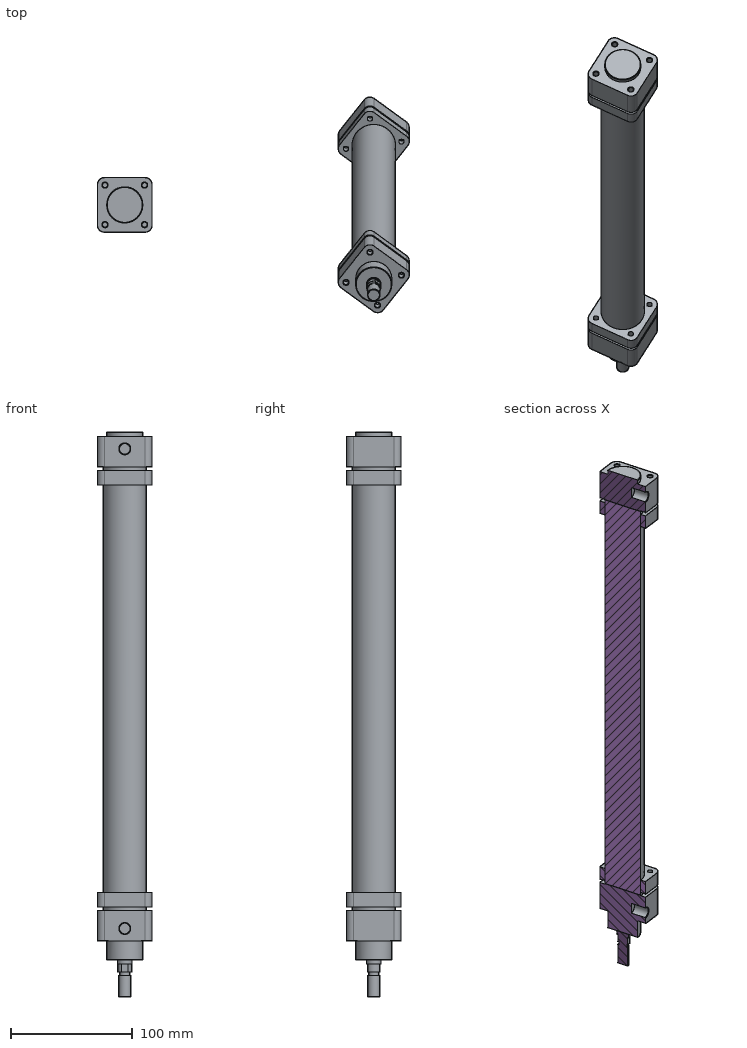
import cadquery as cq

total_length = 464.0
block_side = 45.0
flat_width = 33.5
corner_radius = (block_side - flat_width) / 2
block_height = 25.0
flange_height = 12.0
flange_gap = 3.0

tube_diameter = 35.5

boss_diameter = 29.5
front_boss_height = 16.0
rear_boss_height = 3.5
boss_chamfer = 0.5

rod_diameter = 11.5
rod_flats = 10.0
rod_collar_diameter = 12.0
rod_collar_length = 3.2
flats_length = 6.5
neck_diameter = 8.5
neck_length = 3.0
thread_diameter = 10.0
thread_length = 17.5
thread_chamfer = 0.5

port_diameter = 9.0
port_depth = 14.0
port_chamfer = 0.5
port_inset = 10.0

screw_hole_spacing = 32.5
screw_hole_diameter = 4.0
screw_hole_chamfer = 0.5
chamfer_angle = 45
screw_hole_depth = 9.5

rod_exposed_length = thread_length + neck_length + flats_length + rod_collar_length
front_block_bottom = rod_exposed_length + front_boss_height
front_block_top = front_block_bottom + block_height
front_flange_bottom = front_block_top + flange_gap
front_flange_top = front_flange_bottom + flange_height
rear_block_top = total_length - rear_boss_height
rear_block_bottom = rear_block_top - block_height
rear_flange_bottom = rear_block_bottom - flange_gap - flange_height


def cylinder(diameter, bottom, height):
    """Round bar on the Z axis."""
    return cq.Workplane("XY").workplane(offset=bottom).circle(diameter / 2).extrude(height)


def rounded_square(bottom, height):
    """Square plate on the Z axis with rounded corners."""
    plate = cq.Workplane("XY").workplane(offset=bottom).rect(block_side, block_side).extrude(height)
    return plate.edges("|Z").fillet(corner_radius)


def corner_discs(level, diameter, height, taper=0):
    """Four round cutters in a square pattern; a negative height runs downwards."""
    return (
        cq.Workplane("XY")
        .workplane(offset=level)
        .rect(screw_hole_spacing, screw_hole_spacing, forConstruction=True)
        .vertices()
        .circle(diameter / 2)
        .extrude(height, taper=taper)
    )


def corner_holes(level, inward):
    """Four blind holes from the face at level; inward is 1 for upwards, -1 for downwards."""
    return corner_discs(level, screw_hole_diameter, inward * screw_hole_depth)


def corner_chamfers(level, inward):
    """Cone cutters that chamfer the mouths of the corner holes."""
    mouth_diameter = screw_hole_diameter + 2 * screw_hole_chamfer
    return corner_discs(level, mouth_diameter, inward * screw_hole_chamfer, chamfer_angle)


def port(level):
    """Blind port cutter with a chamfered mouth, entering the -Y face."""
    bore = (
        cq.Workplane("XZ", origin=(0, -block_side / 2, level))
        .circle(port_diameter / 2)
        .extrude(-port_depth)
    )
    mouth = (
        cq.Workplane("XZ", origin=(0, -block_side / 2, level))
        .circle(port_diameter / 2 + port_chamfer)
        .extrude(-port_chamfer, taper=chamfer_angle)
    )
    return bore.union(mouth)


def make_tube():
    """Solid barrel that spans the distance between the two end blocks."""
    return cylinder(tube_diameter, front_block_top, rear_block_bottom - front_block_top)


def make_flange(bottom, hole_face, inward):
    """Square collar around the tube, with blind screw holes from the face at hole_face."""
    flange = rounded_square(bottom, flange_height)
    flange = flange.cut(cylinder(tube_diameter, bottom, flange_height))
    return flange.cut(corner_holes(hole_face, inward))


def make_front_block():
    """End block with the long boss that the rod leaves through."""
    boss = cylinder(boss_diameter, rod_exposed_length, front_boss_height)
    boss = boss.faces("<Z").chamfer(boss_chamfer)
    block = rounded_square(front_block_bottom, block_height).union(boss)
    block = block.cut(port(front_block_bottom + port_inset))
    block = block.cut(corner_holes(front_block_bottom, 1))
    return block.cut(corner_chamfers(front_block_bottom, 1))


def make_rear_block():
    """End block with the short boss."""
    boss = cylinder(boss_diameter, rear_block_top, rear_boss_height)
    boss = boss.faces(">Z").chamfer(boss_chamfer)
    block = rounded_square(rear_block_bottom, block_height).union(boss)
    block = block.cut(port(rear_block_top - port_inset))
    block = block.cut(corner_holes(rear_block_top, -1))
    return block.cut(corner_chamfers(rear_block_top, -1))


def make_rod():
    """Piston rod end: thread, relief neck, wrench flats and round collar."""
    thread = cylinder(thread_diameter, 0, thread_length).faces("<Z").chamfer(thread_chamfer)
    neck = cylinder(neck_diameter, thread_length, neck_length)
    flats_bottom = thread_length + neck_length
    flats_slab = (
        cq.Workplane("XY")
        .workplane(offset=flats_bottom)
        .rect(rod_diameter, rod_flats)
        .extrude(flats_length)
    )
    flats = cylinder(rod_diameter, flats_bottom, flats_length).intersect(flats_slab)
    collar = cylinder(rod_collar_diameter, flats_bottom + flats_length, rod_collar_length)
    return thread.union(neck).union(flats).union(collar)


tube = make_tube()
front_block = make_front_block()
rear_block = make_rear_block()
rod = make_rod()

front_flange = make_flange(front_flange_bottom, front_flange_top, -1)
rear_flange = make_flange(rear_flange_bottom, rear_flange_bottom, 1)

result = cq.Compound.makeCompound(
    [
        tube.val(),
        front_block.val(),
        rear_block.val(),
        front_flange.val(),
        rear_flange.val(),
        rod.val(),
    ]
)